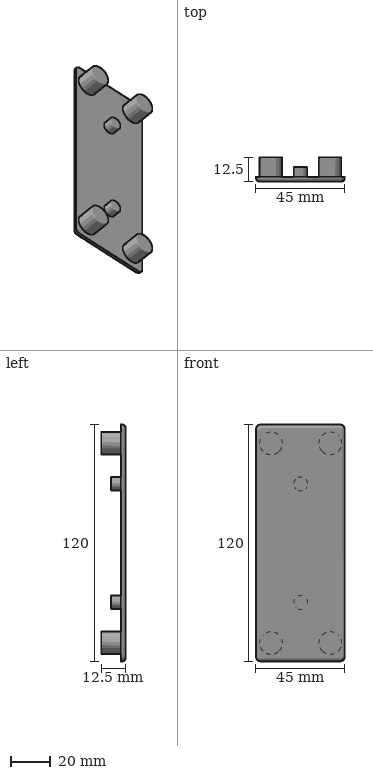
import cadquery as cq

plate_width = 45.0
plate_height = 120.0
plate_thickness = 2.5
corner_radius = 2.5
face_edge_radius = 2.0

large_peg_diameter = 11.5
large_peg_length = 10.0
large_peg_spacing_x = 30.0
large_peg_spacing_z = 101.0

small_peg_diameter = 7.0
small_peg_length = 5.0
small_peg_spacing_z = 60.0

peg_tip_radius = 0.5


def make_plate():
    """Plate with rounded corners and a rounded rim on its face; its back lies at Y = 0."""
    plate = cq.Workplane("XY").box(
        plate_width, plate_thickness, plate_height, centered=(True, False, True)
    )
    plate = plate.translate((0, -plate_thickness, 0))
    plate = plate.edges("|Y").fillet(corner_radius)
    return plate.faces("<Y").edges().fillet(face_edge_radius)


def make_peg(diameter, length, x, z):
    """Round peg standing on the back of the plate, rounded at its free end."""
    peg = cq.Workplane("XZ").center(x, z).circle(diameter / 2).extrude(-length)
    return peg.faces(">Y").edges().fillet(peg_tip_radius)


result = make_plate()

for side_z in (-1, 1):
    for side_x in (-1, 1):
        large_peg = make_peg(
            large_peg_diameter,
            large_peg_length,
            side_x * large_peg_spacing_x / 2,
            side_z * large_peg_spacing_z / 2,
        )
        result = result.union(large_peg)
    small_peg = make_peg(
        small_peg_diameter, small_peg_length, 0, side_z * small_peg_spacing_z / 2
    )
    result = result.union(small_peg)